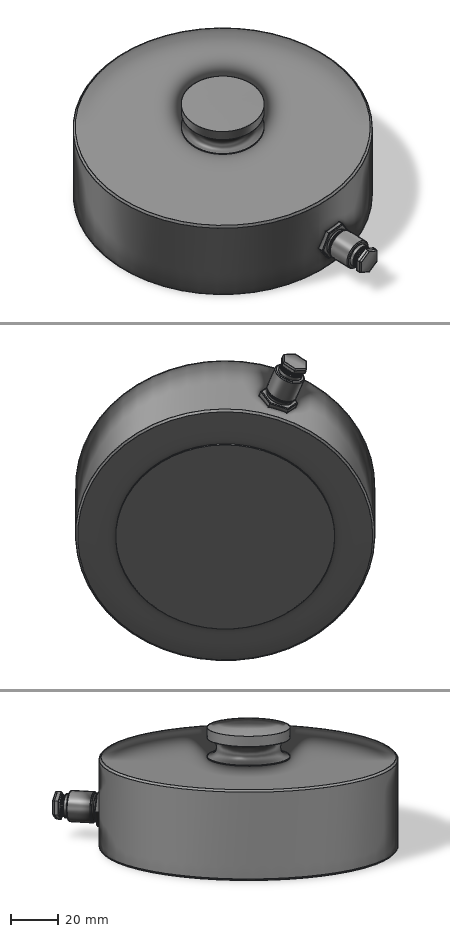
import cadquery as cq
import math

body_radius = 63.0
foot_radius = 46.1
foot_height = 0.9
body_top = 40.1
body_chamfer = 0.9
button_radius = 17.5
button_step = 0.5
neck_groove_radius = 4.0
button_edge_top = 53.0
total_height = 54.0

connector_height = 14.7
connector_seat_x = 61.7
gland_hex_flats = 14.4
gland_hex_end = 64.9
gland_hex_chamfer = 0.37
throat_radius = 5.7
throat_end = 65.9
sleeve_radius = 6.6
sleeve_shoulder_radius = 6.2
sleeve_ramp_end = 66.6
sleeve_start = 67.2
sleeve_end = 77.0
sleeve_chamfer = 0.5
tail_radius = 5.1
tail_end = 79.1
finger_radius = 4.5
finger_start = 79.7
nut_start = 81.3
total_length = 146.8
nut_end = total_length - body_radius
nut_flats = 10.4
nut_chamfer_length = 0.9
nut_chamfer_depth = 0.3
slot_end = 80.7
slot_count = 24
slot_width = 0.6
slot_depth = 0.5


def make_housing():
    """Revolve the body, foot, neck and domed button about Z."""
    plinth_top = body_top + button_step
    neck_middle = plinth_top + neck_groove_radius
    button_bottom = neck_middle + neck_groove_radius
    dome_rise = total_height - button_edge_top
    dome_radius = (button_radius**2 + dome_rise**2) / (2 * dome_rise)
    dome_mid_radius = button_radius / 2
    dome_mid_height = total_height - dome_radius + math.sqrt(dome_radius**2 - dome_mid_radius**2)
    profile = (
        cq.Workplane("XZ")
        .lineTo(foot_radius, 0)
        .lineTo(foot_radius, foot_height)
        .lineTo(body_radius - body_chamfer, foot_height)
        .lineTo(body_radius, foot_height + body_chamfer)
        .lineTo(body_radius, body_top - body_chamfer)
        .lineTo(body_radius - body_chamfer, body_top)
        .lineTo(button_radius, body_top)
        .lineTo(button_radius, plinth_top)
        .threePointArc((button_radius - neck_groove_radius, neck_middle), (button_radius, button_bottom))
        .lineTo(button_radius, button_edge_top)
        .threePointArc((dome_mid_radius, dome_mid_height), (0, total_height))
        .close()
    )
    return profile.revolve(360, (0, 0, 0), (0, 1, 0))


def hex_prism(flats, start_x, end_x, corner_angle):
    """Hexagonal prism along X; corners lie on Y at 0 degrees, on Z at 90 degrees."""
    corner_diameter = flats / math.cos(math.pi / 6)
    return (
        cq.Workplane("YZ", origin=(start_x, 0, 0))
        .polygon(6, corner_diameter)
        .extrude(end_x - start_x)
        .rotate((0, 0, 0), (1, 0, 0), corner_angle)
    )


def make_connector_core():
    """Revolve the throat, sleeve, tail and finger cone about the connector axis."""
    return (
        cq.Workplane("XZ")
        .moveTo(connector_seat_x, 0)
        .lineTo(connector_seat_x, throat_radius)
        .lineTo(throat_end, throat_radius)
        .lineTo(sleeve_ramp_end, sleeve_shoulder_radius)
        .lineTo(sleeve_start, sleeve_shoulder_radius)
        .lineTo(sleeve_start, sleeve_radius)
        .lineTo(sleeve_end, sleeve_radius)
        .lineTo(sleeve_end + sleeve_chamfer, sleeve_radius - sleeve_chamfer)
        .lineTo(sleeve_end + sleeve_chamfer, tail_radius)
        .lineTo(tail_end, tail_radius)
        .lineTo(finger_start, finger_radius)
        .lineTo(nut_end, finger_radius)
        .lineTo(nut_end, 0)
        .close()
        .revolve(360, (0, 0, 0), (1, 0, 0))
    )


def cut_finger_slots(core):
    """Cut evenly spaced lengthwise slots between the clamping fingers."""
    slot_floor = finger_radius - slot_depth
    slot = cq.Workplane("XY").box(
        slot_end - tail_end, slot_width, tail_radius - slot_floor, centered=(False, True, False)
    ).translate((tail_end, 0, slot_floor))
    for index in range(slot_count):
        core = core.cut(slot.rotate((0, 0, 0), (1, 0, 0), index * 360 / slot_count))
    return core


def make_connector():
    gland_hex = hex_prism(gland_hex_flats, connector_seat_x, gland_hex_end, 0)
    gland_hex = gland_hex.faces(">X").chamfer(gland_hex_chamfer)
    nut = hex_prism(nut_flats, nut_start, nut_end, 90)
    nut = nut.faces(">X").edges().chamfer(nut_chamfer_length, nut_chamfer_depth)
    core = cut_finger_slots(make_connector_core())
    return core.union(gland_hex).union(nut).translate((0, 0, connector_height))


connector = make_connector()
housing = make_housing().cut(connector)

result = cq.Compound.makeCompound([housing.val(), connector.val()])